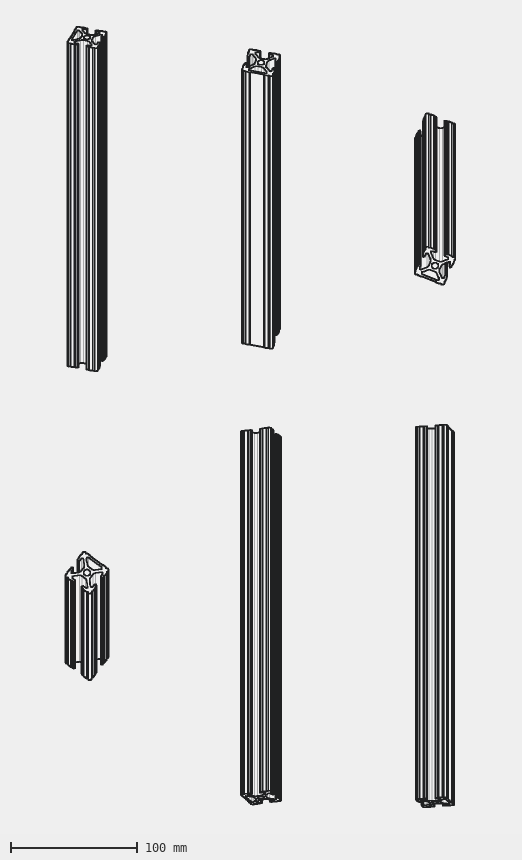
import cadquery as cq
import math

length = 304.8
width = 25.3
half_width = width / 2
corner_radius = 1.8

lip_thickness = 2.2
slot_opening = 6.5
slot_inner_width = 14.5
core_width = 9.0
web_thickness = 2.5
floor_blend_radius = 3.0
chamber_corner_radius = 1.0
lip_edge_radius = 0.75

bore_diameter = 5.2
groove_offset = 2.7
groove_width = 1.5
groove_depth = 0.45
recess_half_width = 5.5
recess_slope_width = 1.0
recess_depth = 0.3

open_sides = (0, 90, 270)
all_sides = (0, 90, 180, 270)


def prism(points):
    return cq.Workplane("XY").polyline(points).close().extrude(length)


def turned(body, angle):
    return body.rotate((0, 0, 0), (0, 0, 1), angle)


def slot_chamber():
    """Cavity on the +X side, between two diagonal webs and the core."""
    floor = core_width / 2
    roof = half_width - lip_thickness
    half_inner = slot_inner_width / 2
    web_shift = web_thickness / math.sqrt(2)
    half_floor = floor - web_shift
    shoulder = half_inner + web_shift
    chamber = prism([
        (floor, -half_floor),
        (shoulder, -half_inner),
        (roof, -half_inner),
        (roof, half_inner),
        (shoulder, half_inner),
        (floor, half_floor),
    ])
    chamber = chamber.faces("<X").edges("|Z").fillet(floor_blend_radius)
    wall_edges = chamber.faces("<Y or >Y").edges("|Z")
    return wall_edges.fillet(chamber_corner_radius)


def face_groove(side):
    """Round-bottomed groove near one end of the +X face; side is +1 or -1."""
    center = side * (half_width - groove_offset)
    profile = (
        cq.Workplane("XY")
        .moveTo(half_width, center - groove_width / 2)
        .threePointArc(
            (half_width - groove_depth, center),
            (half_width, center + groove_width / 2),
        )
        .close()
    )
    return profile.extrude(length)


def face_recess():
    """Shallow recess with sloped flanks along the middle of the +X face."""
    bottom = half_width - recess_depth
    half_mouth = recess_half_width + recess_slope_width
    return prism([
        (half_width, -half_mouth),
        (bottom, -recess_half_width),
        (bottom, recess_half_width),
        (half_width, half_mouth),
    ])


def slot_mouth():
    """Opening between the lips of the +X slot, with rounded lip edges."""
    outer = half_width - recess_depth
    inner = half_width - lip_thickness
    half_opening = slot_opening / 2
    r = lip_edge_radius
    profile = (
        cq.Workplane("XY")
        .moveTo(inner, -half_opening - r)
        .radiusArc((inner + r, -half_opening), -r)
        .lineTo(outer - r, -half_opening)
        .radiusArc((outer, -half_opening - r), -r)
        .lineTo(outer, half_opening + r)
        .radiusArc((outer - r, half_opening), -r)
        .lineTo(inner + r, half_opening)
        .radiusArc((inner, half_opening + r), -r)
        .close()
    )
    return profile.extrude(length)


bar = cq.Workplane("XY").rect(width, width).extrude(length)
bar = bar.edges("|Z").fillet(corner_radius)

for angle in all_sides:
    bar = bar.cut(turned(slot_chamber(), angle))
    bar = bar.cut(turned(face_recess(), angle))
    for side in (-1, 1):
        bar = bar.cut(turned(face_groove(side), angle))

for angle in open_sides:
    bar = bar.cut(turned(slot_mouth(), angle))

bore = cq.Workplane("XY").circle(bore_diameter / 2).extrude(length)
result = bar.cut(bore)